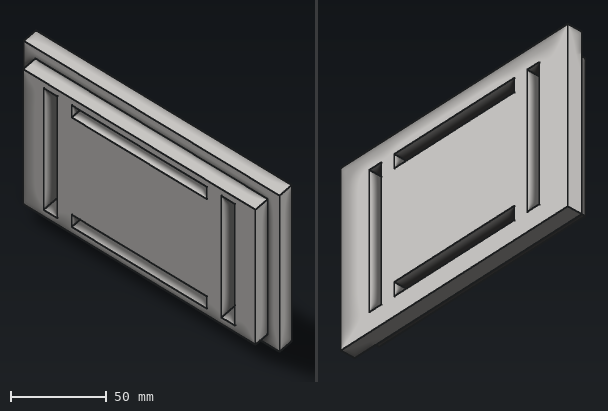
import cadquery as cq

plate_length = 174.0
plate_height = 118.0
total_depth = 20.0
plate_depth = total_depth / 2

panel_margin = 8.0
panel_length = plate_length - 2 * panel_margin
panel_height = plate_height - 2 * panel_margin
panel_depth = total_depth - plate_depth

slot_length = 91.9
slot_width = 9.2
side_slot_spacing = 121.0
end_slot_spacing = slot_length - slot_width


def upright_block(length, depth, height, back_y):
    """Block centred on X and Z, reaching from back_y towards -Y."""
    return cq.Workplane("XY").box(length, depth, height).translate((0, back_y - depth / 2, 0))


def through_slot(length, height, x, z):
    """Rectangular cutter spanning the full depth of the part."""
    return upright_block(length, total_depth, height, plate_depth).translate((x, 0, z))


plate = upright_block(plate_length, plate_depth, plate_height, plate_depth)
panel = upright_block(panel_length, panel_depth, panel_height, 0)
result = plate.union(panel)

for side in (-1, 1):
    side_slot = through_slot(slot_width, slot_length, side * side_slot_spacing / 2, 0)
    end_slot = through_slot(slot_length, slot_width, 0, side * end_slot_spacing / 2)
    result = result.cut(side_slot).cut(end_slot)